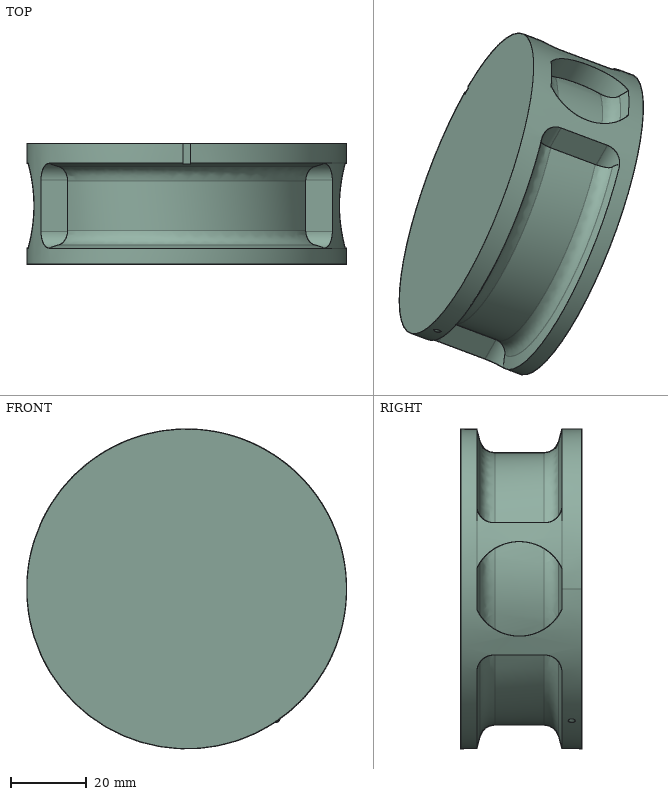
import cadquery as cq
import math

rim_radius = 42.3
front_y = -15.5
back_y = 16.5
floor_radius = 36.0
groove_half_width = 11.25
wall_slope = math.radians(15)
groove_fillet = 4.0

bridge_half_height = 17.5
bridge_corner_radius = 4.5
port_diameter = 25.0

notch_width = 2.0
notch_depth = 0.8

ball_radius = 1.25
ball_centre_radius = 41.4
ball_angle = math.radians(-55.5)
ball_y = (groove_half_width + back_y) / 2

outside = 10.0


def cylinder_on_y(radius, start_y, end_y):
    return cq.Workplane("XZ", origin=(0, start_y, 0)).circle(radius).extrude(start_y - end_y)


def groove_ring():
    """Ring of material removed by a groove: sloped walls, filleted into a flat floor."""
    depth = rim_radius - floor_radius
    wall_foot = groove_half_width - depth * math.tan(wall_slope)
    tool_radius = rim_radius + outside
    profile = (
        cq.Workplane("XY")
        .moveTo(floor_radius, -wall_foot)
        .lineTo(rim_radius, -groove_half_width)
        .lineTo(tool_radius, -groove_half_width)
        .lineTo(tool_radius, groove_half_width)
        .lineTo(rim_radius, groove_half_width)
        .lineTo(floor_radius, wall_foot)
        .close()
    )
    ring = profile.revolve(360, (0, 0, 0), (0, 1, 0))
    return ring.edges(cq.selectors.RadiusNthSelector(0)).fillet(groove_fillet)


def window(side):
    """Round-cornered opening above (side=1) or below (side=-1) the bridges."""
    length = 2 * (rim_radius + outside)
    height = rim_radius + outside - bridge_half_height
    block = cq.Workplane("XY").box(length, 2 * groove_half_width, height, centered=(True, True, False))
    block = block.edges("|X and <Z").fillet(bridge_corner_radius)
    block = block.translate((0, 0, bridge_half_height))
    return block if side > 0 else block.mirror("XY")


def make_bridges():
    """Two curved straps across the groove, flush with the rim and pierced by a round port."""
    length = 2 * (rim_radius + outside)
    strap_half_height = bridge_half_height + bridge_corner_radius
    slab = cq.Workplane("XZ", origin=(0, front_y, 0)).rect(length, 2 * strap_half_height)
    slab = slab.extrude(front_y - back_y)
    port = cq.Workplane("YZ").circle(port_diameter / 2).extrude(length / 2, both=True)
    rim_ring = cylinder_on_y(rim_radius, front_y, back_y).cut(cylinder_on_y(floor_radius, front_y, back_y))
    return rim_ring.intersect(slab).cut(window(1)).cut(window(-1)).cut(port)


def make_spool():
    spool = cylinder_on_y(rim_radius, front_y, back_y).cut(groove_ring())
    spool = spool.union(make_bridges())
    notch = cq.Workplane("XY").box(notch_width, back_y, outside, centered=(True, False, False))
    return spool.cut(notch.translate((0, 0, rim_radius - notch_depth)))


def make_ball():
    centre_x = ball_centre_radius * math.cos(ball_angle)
    centre_z = ball_centre_radius * math.sin(ball_angle)
    return cq.Workplane("XY").sphere(ball_radius).translate((centre_x, ball_y, centre_z))


ball = make_ball()
spool = make_spool().cut(ball)
result = cq.Compound.makeCompound([spool.val(), ball.val()])